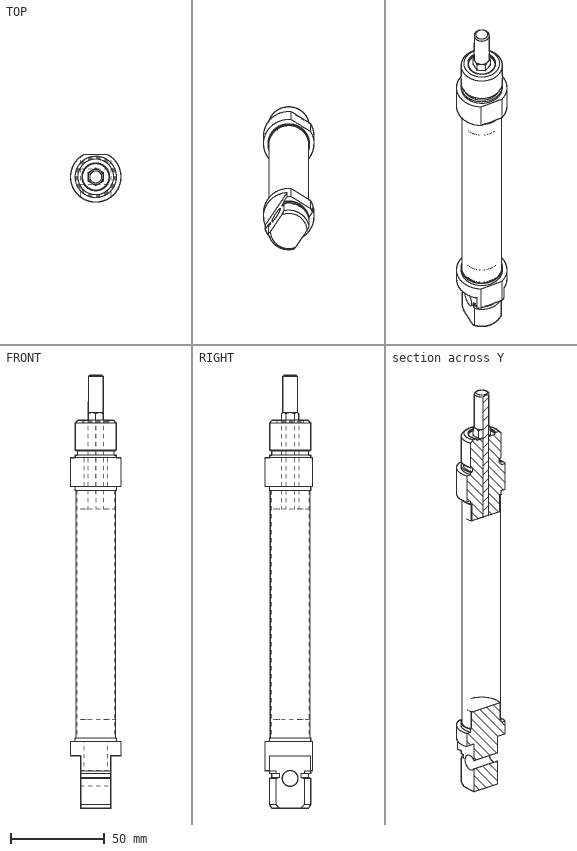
import cadquery as cq
import math

overall_length = 231.0
rod_thread_length = 20.0
nose_to_rod_tip = 24.0
nose_to_collar = 20.0
rod_shoulder_z = overall_length - rod_thread_length
nose_top_z = overall_length - nose_to_rod_tip

rod_thread_diameter = 8.0
rod_tip_chamfer = 0.8
hex_across_flats = 8.0
hex_across_corners = hex_across_flats / math.cos(math.pi / 6)
hex_chamfer_angle = 45.0

mount_diameter = 22.0
groove_diameter = 19.7
groove_taper = 0.6
collar_diameter = 27.0
collar_flat_y = 12.0
lip_diameter = 22.2

nose_chamfer = 1.5
nose_length = 16.0
nose_bottom_z = nose_top_z - nose_length
front_groove_top_z = nose_bottom_z - groove_taper
front_groove_length = 2.7
front_groove_bottom_z = nose_bottom_z - front_groove_length
front_collar_top_z = nose_top_z - nose_to_collar
front_collar_length = 15.5
front_collar_bottom_z = front_collar_top_z - front_collar_length
front_lip_length = 2.0
recess_diameter = 14.1
recess_depth = 1.0
recess_chamfer = 0.4

tail_end_diameter = 19.5
tail_chamfer_height = 2.0
tail_groove_bottom_z = 15.9
tail_groove_top_z = 18.5
rear_collar_bottom_z = 20.0
rear_collar_top_z = 35.8
rear_lip_length = 1.7
tang_width = 16.0
tang_top_z = 28.0
pivot_diameter = 8.3
pivot_z = 16.0

tube_outer_diameter = 21.27
tube_inner_diameter = 20.0
tube_top_z = front_collar_bottom_z - front_lip_length
tube_bottom_z = rear_collar_top_z + rear_lip_length
spigot_length = 10.0
spigot_bottom_z = tube_top_z - spigot_length
spigot_top_z = tube_bottom_z + spigot_length


def turned(profile):
    """Revolve (diameter, z) points, closed along the axis, about Z."""
    outline = [(0, profile[0][1])]
    outline += [(diameter / 2, z) for diameter, z in profile]
    outline.append((0, profile[-1][1]))
    return cq.Workplane("XZ").polyline(outline).close().revolve(360, (0, 0), (0, 1))


def hex_bar(bottom_z, top_z):
    """Hexagonal bar with two corners on the Y axis."""
    bar = cq.Workplane("XY").polygon(6, hex_across_corners).extrude(top_z - bottom_z)
    return bar.rotate((0, 0, 0), (0, 0, 1), 90).translate((0, 0, bottom_z))


def collar(bottom_z, top_z):
    """Round collar with a flat on its +Y side."""
    length = top_z - bottom_z
    disc = cq.Workplane("XY").workplane(offset=bottom_z).circle(collar_diameter / 2).extrude(length)
    trim = cq.Workplane("XY").box(
        collar_diameter, collar_diameter / 2 + collar_flat_y, length, centered=(True, False, False)
    )
    return disc.intersect(trim.translate((0, -collar_diameter / 2, bottom_z)))


def make_piston_rod():
    corner_chamfer = (hex_across_corners - rod_thread_diameter) / 2
    corner_chamfer_height = corner_chamfer * math.tan(math.radians(hex_chamfer_angle))
    envelope = turned([
        (hex_across_corners, spigot_bottom_z),
        (hex_across_corners, rod_shoulder_z - corner_chamfer_height),
        (rod_thread_diameter, rod_shoulder_z),
    ])
    shank = hex_bar(spigot_bottom_z, rod_shoulder_z).intersect(envelope)
    thread = turned([
        (rod_thread_diameter, rod_shoulder_z),
        (rod_thread_diameter, overall_length - rod_tip_chamfer),
        (rod_thread_diameter - 2 * rod_tip_chamfer, overall_length),
    ])
    return shank.union(thread)


def make_front_cover():
    body = turned([
        (tube_inner_diameter, spigot_bottom_z),
        (tube_inner_diameter, tube_top_z),
        (lip_diameter, tube_top_z),
        (lip_diameter, front_collar_bottom_z),
        (mount_diameter, front_collar_bottom_z),
        (mount_diameter, front_groove_bottom_z),
        (groove_diameter, front_groove_bottom_z),
        (groove_diameter, front_groove_top_z),
        (mount_diameter, nose_bottom_z),
        (mount_diameter, nose_top_z - nose_chamfer),
        (mount_diameter - 2 * nose_chamfer, nose_top_z),
    ])
    recess = turned([
        (recess_diameter, nose_top_z - recess_depth),
        (recess_diameter, nose_top_z - recess_chamfer),
        (recess_diameter + 2 * recess_chamfer, nose_top_z),
    ])
    body = body.union(collar(front_collar_bottom_z, front_collar_top_z))
    return body.cut(recess).cut(hex_bar(spigot_bottom_z, nose_top_z))


def make_tube():
    length = tube_top_z - tube_bottom_z
    return (
        cq.Workplane("XY").workplane(offset=tube_bottom_z)
        .circle(tube_outer_diameter / 2).circle(tube_inner_diameter / 2).extrude(length)
    )


def make_rear_cover():
    body = turned([
        (tail_end_diameter, 0),
        (mount_diameter, tail_chamfer_height),
        (mount_diameter, tail_groove_bottom_z),
        (groove_diameter, tail_groove_bottom_z + groove_taper),
        (groove_diameter, tail_groove_top_z),
        (mount_diameter, tail_groove_top_z),
        (mount_diameter, rear_collar_top_z),
        (lip_diameter, rear_collar_top_z),
        (lip_diameter, tube_bottom_z),
        (tube_inner_diameter, tube_bottom_z),
        (tube_inner_diameter, spigot_top_z),
    ])
    body = body.union(collar(rear_collar_bottom_z, rear_collar_top_z))
    for side in (-1, 1):
        waste = cq.Workplane("XY").box(
            collar_diameter, collar_diameter, tang_top_z, centered=(True, True, False)
        )
        body = body.cut(waste.translate((side * (tang_width + collar_diameter) / 2, 0, 0)))
    pivot_hole = (
        cq.Workplane("YZ").center(0, pivot_z).circle(pivot_diameter / 2).extrude(tang_width, both=True)
    )
    return body.cut(pivot_hole)


piston_rod = make_piston_rod()
front_cover = make_front_cover()
tube = make_tube()
rear_cover = make_rear_cover()

result = cq.Compound.makeCompound([
    piston_rod.val(),
    front_cover.val(),
    tube.val(),
    rear_cover.val(),
])